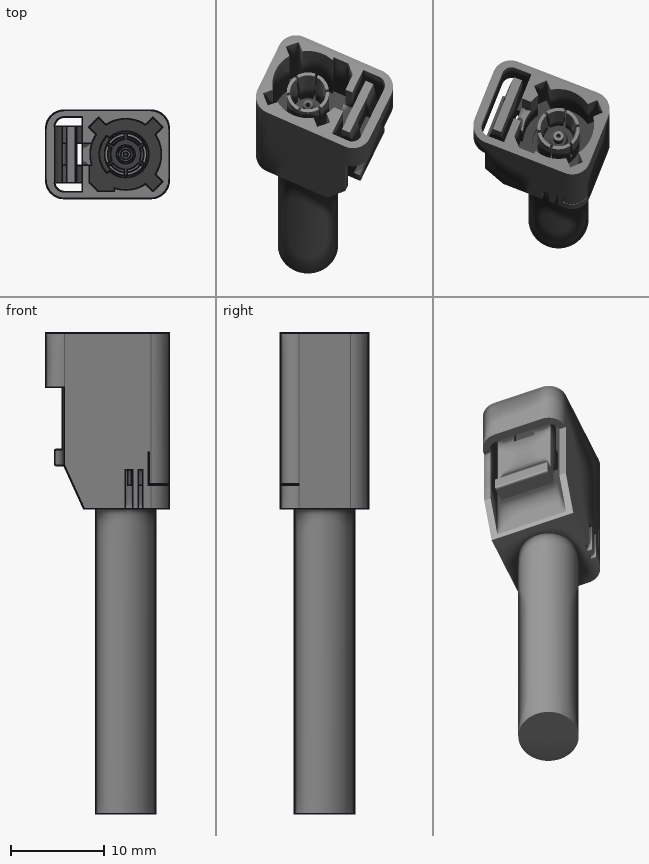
import cadquery as cq
import math

housing_height = 18.92
total_length = 51.72
housing_length = 13.28
housing_width = 9.5
collar_face_x = -8.6
back_face_x = collar_face_x + housing_length
corner_radius = 2.0
barrel_diameter = 5.66
ledge_thickness = 0.5
chamber_floor_z = 8.0
ledge_bottom_z = chamber_floor_z - ledge_thickness

collar_height = 5.85
flank_face_x = collar_face_x + corner_radius
slant_top_z = 4.6
slant_bottom_x = -4.5
panel_face_x = -4.7
latch_wall = 0.95
side_wall = 0.75
cavity_half_width = housing_width / 2 - side_wall

chamber_radius = 3.83
key_slot_width = 1.48
key_slot_reach = 4.88
code_pocket_x = -3.9
code_pocket_end_x = -1.22
code_pocket_half_width = 3.98
code_pocket_bevel = 0.95

wall_slot_width = 2.35
wall_slot_depth = 5.0

bore_diameter = 5.7
ledge_hole_diameter = 4.98
ledge_notch_half_angle = 45

latch_width = 6.1
latch_recess_width = wall_slot_width
latch_face_x = -6.85
latch_root_x = -5.25
latch_lower_back_x = -5.9
latch_top_face_x = -6.35
latch_top_back_x = -5.42
latch_top_z = 18.75
latch_slope_start_z = 13.2
catch_face_x = -7.65
catch_bottom_z = 4.65
catch_height = 1.75
catch_rounding = 0.25
latch_pivot_z = 8.65
latch_pivot_height = 3.0

groove_height = 4.2
groove_depth = 0.55
groove_spans = [(-0.03, 0.76), (1.36, 1.84)]
pocket_spans = [(0.2, 0.58), (1.36, 1.84)]
pocket_bottom_z = 2.55
pocket_extra_depth = 0.15
slit_width = 0.13
slit_depth = 0.1
slit_x = 2.42
slit_bottom_z = pocket_bottom_z
slit_top_z = 6.1

cable_diameter = 6.5
sleeve_diameter = 4.55
sleeve_mouth_diameter = 3.86
sleeve_bore_diameter = 3.26
sleeve_top_z = 16.4
sleeve_mouth_depth = 4.0
sleeve_bore_depth = 6.5
sleeve_slots = 6
sleeve_slot_width = 0.3
insulator_diameter = 2.02
insulator_height = 0.6
insulator_bevel = 0.2
contact_diameter = 1.05
contact_height = 2.5
contact_hole_diameter = 0.5
contact_hole_depth = 1.5


def box(x_min, x_max, y_min, y_max, z_min, z_max):
    """Box between two limits on each axis."""
    size = (x_max - x_min, y_max - y_min, z_max - z_min)
    return cq.Workplane("XY").box(*size, centered=False).translate((x_min, y_min, z_min))


def cylinder(diameter, z_min, z_max):
    """Cylinder on the cable axis."""
    return cq.Workplane("XY").workplane(offset=z_min).circle(diameter / 2).extrude(z_max - z_min)


def rounded_block(inset, z_min, z_max):
    """Housing outline, moved inward by inset, with rounded vertical edges."""
    limit_y = housing_width / 2 - inset
    block = box(collar_face_x + inset, back_face_x - inset, -limit_y, limit_y, z_min, z_max)
    return block.edges("|Z").fillet(corner_radius - inset)


def housing_shell():
    """Outer block: collar at the top, flat flanks below it, slanted flank ends."""
    front_cut = (
        cq.Workplane("XZ")
        .moveTo(collar_face_x, 0)
        .lineTo(slant_bottom_x, 0)
        .lineTo(flank_face_x, slant_top_z)
        .lineTo(flank_face_x, housing_height - collar_height)
        .lineTo(collar_face_x, housing_height - collar_height)
        .close()
        .extrude(housing_width / 2, both=True)
    )
    return rounded_block(0, 0, housing_height).cut(front_cut)


def latch_cavity():
    """Open space between the collar, the flanks and the panel, with rounded outer corners."""
    inner_face_x = collar_face_x + latch_wall
    cavity = box(inner_face_x, panel_face_x, -cavity_half_width, cavity_half_width, 0, housing_height)
    return cavity.edges("|Z and <X").fillet(corner_radius - latch_wall)


def mating_chamber():
    """Round chamber with three diagonal key slots and one bevelled code pocket."""
    depth = housing_height - chamber_floor_z
    key_half = key_slot_width / 2
    chamber = cylinder(2 * chamber_radius, chamber_floor_z, housing_height)
    for angle in (-45, 45, 135):
        slot = box(0, key_slot_reach, -key_half, key_half, chamber_floor_z, housing_height)
        chamber = chamber.union(slot.rotate((0, 0, 0), (0, 0, 1), angle))
    pocket = (
        cq.Workplane("XY")
        .workplane(offset=chamber_floor_z)
        .moveTo(code_pocket_end_x, 0)
        .lineTo(code_pocket_end_x, -code_pocket_half_width)
        .lineTo(code_pocket_x + code_pocket_bevel, -code_pocket_half_width)
        .lineTo(code_pocket_x, code_pocket_bevel - code_pocket_half_width)
        .lineTo(code_pocket_x, -wall_slot_width / 2)
        .lineTo(code_pocket_end_x, -wall_slot_width / 2)
        .close()
        .extrude(depth)
    )
    return chamber.union(pocket)


def wall_slot():
    """Slot through the wall between the latch cavity and the chamber."""
    half = wall_slot_width / 2
    return box(panel_face_x, -chamber_radius / 2, -half, half, housing_height - wall_slot_depth, housing_height)


def contact_bore():
    """Bore for the barrel, a smaller hole in the ledge above it, and a notch in the ledge."""
    bore = cylinder(bore_diameter, 0, ledge_bottom_z)
    ledge_hole = cylinder(ledge_hole_diameter, ledge_bottom_z, chamber_floor_z)
    reach = bore_diameter
    rise = reach * math.tan(math.radians(ledge_notch_half_angle))
    wedge = (
        cq.Workplane("XY")
        .workplane(offset=ledge_bottom_z)
        .polyline([(0, 0), (-reach, rise), (-reach, -rise)])
        .close()
        .extrude(ledge_thickness)
    )
    notch = wedge.intersect(cylinder(bore_diameter, ledge_bottom_z, chamber_floor_z))
    return bore.union(ledge_hole).union(notch)


def latch_lever():
    """Lever with a catch at its foot, a recessed sloping top and two blocks that hold it to the panel."""
    half = latch_width / 2
    lever = (
        cq.Workplane("XZ")
        .moveTo(latch_face_x, catch_bottom_z)
        .lineTo(latch_lower_back_x, catch_bottom_z)
        .lineTo(latch_lower_back_x, latch_pivot_z)
        .lineTo(latch_root_x, latch_pivot_z)
        .lineTo(latch_root_x, latch_slope_start_z)
        .lineTo(latch_top_back_x, latch_top_z)
        .lineTo(latch_top_face_x, latch_top_z)
        .lineTo(latch_face_x, latch_slope_start_z)
        .close()
        .extrude(half, both=True)
    )
    catch_top_z = catch_bottom_z + catch_height
    catch = box(catch_face_x, latch_face_x, -half, half, catch_bottom_z, catch_top_z)
    catch = catch.edges("|Y and <X").fillet(catch_rounding)
    recess_half = latch_recess_width / 2
    recess = box(latch_face_x, latch_top_face_x, -recess_half, recess_half, latch_slope_start_z, latch_top_z)
    lever = lever.union(catch).cut(recess)
    pivot_top_z = latch_pivot_z + latch_pivot_height
    for y_min, y_max in ((-half, -recess_half), (recess_half, half)):
        lever = lever.union(box(latch_root_x, panel_face_x, y_min, y_max, latch_pivot_z, pivot_top_z))
    return lever


def side_grooves():
    """Grooves open at the bottom of the -Y side, each with a deeper pocket in its upper part."""
    side_y = -housing_width / 2
    pocket_y = side_y + groove_depth + pocket_extra_depth
    cuts = cq.Workplane("XY")
    for x_min, x_max in groove_spans:
        cuts = cuts.add(box(x_min, x_max, side_y, side_y + groove_depth, 0, groove_height))
    for x_min, x_max in pocket_spans:
        cuts = cuts.add(box(x_min, x_max, side_y, pocket_y, pocket_bottom_z, groove_height))
    return cuts.combine()


def corner_slit():
    """Shallow L-shaped slit: up the -Y side and around the rear corner."""
    skin = rounded_block(0, 0, housing_height).cut(rounded_block(slit_depth, 0, housing_height))
    upright = box(slit_x, slit_x + slit_width, -housing_width, 0, slit_bottom_z, slit_top_z)
    level_top_z = slit_bottom_z + slit_width
    corner_end_y = corner_radius - housing_width / 2
    level = box(slit_x, back_face_x, -housing_width, corner_end_y, slit_bottom_z, level_top_z)
    return upright.union(level).intersect(skin)


def make_housing():
    """Housing with its latch lever, chamber and bore."""
    housing = housing_shell().cut(latch_cavity()).cut(mating_chamber()).cut(wall_slot())
    return housing.cut(contact_bore()).union(latch_lever()).cut(side_grooves()).cut(corner_slit())


def contact_sleeve():
    """Slotted spring sleeve with a long tapered mouth."""
    floor_z = sleeve_top_z - sleeve_bore_depth
    throat_z = sleeve_top_z - sleeve_mouth_depth
    sleeve = (
        cq.Workplane("XZ")
        .moveTo(sleeve_bore_diameter / 2, floor_z)
        .lineTo(sleeve_diameter / 2, floor_z)
        .lineTo(sleeve_diameter / 2, sleeve_top_z)
        .lineTo(sleeve_mouth_diameter / 2, sleeve_top_z)
        .lineTo(sleeve_bore_diameter / 2, throat_z)
        .close()
        .revolve(360, (0, 0, 0), (0, 1, 0))
    )
    half = sleeve_slot_width / 2
    for index in range(sleeve_slots):
        slot = box(0, sleeve_diameter, -half, half, floor_z, sleeve_top_z)
        angle = (index + 0.5) * 360 / sleeve_slots
        sleeve = sleeve.cut(slot.rotate((0, 0, 0), (0, 0, 1), angle))
    return sleeve


def make_cable():
    """Cable, barrel and slotted sleeve, with a bored centre contact standing in an insulator."""
    floor_z = sleeve_top_z - sleeve_bore_depth
    contact_top_z = floor_z + contact_height
    insulator = cylinder(insulator_diameter, floor_z, floor_z + insulator_height)
    insulator = insulator.faces(">Z").chamfer(insulator_bevel)
    contact = cylinder(contact_diameter, floor_z, contact_top_z)
    contact_hole = cylinder(contact_hole_diameter, contact_top_z - contact_hole_depth, contact_top_z)
    cable = cylinder(cable_diameter, housing_height - total_length, 0)
    cable = cable.union(cylinder(barrel_diameter, 0, ledge_bottom_z))
    cable = cable.union(cylinder(sleeve_diameter, ledge_bottom_z, floor_z))
    return cable.union(contact_sleeve()).union(insulator).union(contact).cut(contact_hole)


housing = make_housing()
cable = make_cable()
result = cq.Compound.makeCompound([housing.solids().val(), cable.solids().val()])